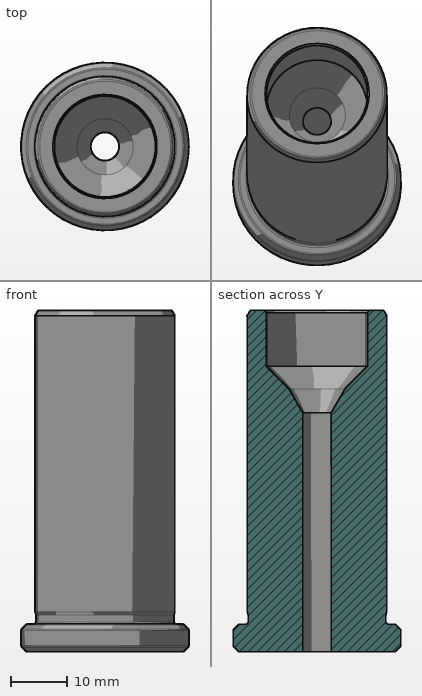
import cadquery as cq
import math

total_height = 61.0
collar_diameter = 30.0
collar_height = 5.0
collar_chamfer = 1.0
body_diameter = 25.0
corner_radius = 0.4

lead_in_angle = math.radians(30)
tip_chamfer_height = 1.0
mouth_chamfer_depth = 0.5

groove_diameter = 24.7
groove_top = 7.2
groove_runout_angle = math.radians(15)

bore_diameter = 18.0
bore_depth = 10.0
throat_diameter = 10.0
hole_diameter = 5.0
upper_cone_slope = math.radians(45)
lower_cone_slope = math.radians(60)

collar_radius = collar_diameter / 2
body_radius = body_diameter / 2
tip_radius = body_radius - tip_chamfer_height * math.tan(lead_in_angle)
groove_radius = groove_diameter / 2
bore_radius = bore_diameter / 2
mouth_radius = bore_radius + mouth_chamfer_depth * math.tan(lead_in_angle)
throat_radius = throat_diameter / 2
hole_radius = hole_diameter / 2

groove_wall_top = groove_top - (body_radius - groove_radius) / math.tan(groove_runout_angle)
bore_bottom = total_height - bore_depth
throat_top = bore_bottom - (bore_radius - throat_radius) * math.tan(upper_cone_slope)
hole_top = throat_top - (throat_radius - hole_radius) * math.tan(lower_cone_slope)


def revolved(outline, rounded_corners=()):
    """Solid of revolution about Z from (radius, height) points, with chosen corners rounded."""
    section = cq.Sketch().polygon(outline + outline[:1])
    for radius, height in rounded_corners:
        corner = cq.selectors.NearestToPointSelector((radius, height, 0))
        section = section.vertices(corner).fillet(corner_radius).reset()
    return cq.Workplane("XZ").placeSketch(section).revolve(360, (0, 0), (0, 1))


def outer_body():
    """Collared pin with its undercut and lead-in chamfer."""
    collar_lower_corner = (collar_radius, collar_chamfer)
    collar_upper_corner = (collar_radius, collar_height - collar_chamfer)
    collar_top_corner = (collar_radius - collar_chamfer, collar_height)
    groove_corner = (groove_radius, collar_height)
    tip_corner = (tip_radius, total_height)
    outline = [
        (0, 0),
        (collar_radius - collar_chamfer, 0),
        collar_lower_corner,
        collar_upper_corner,
        collar_top_corner,
        groove_corner,
        (groove_radius, groove_wall_top),
        (body_radius, groove_top),
        (body_radius, total_height - tip_chamfer_height),
        tip_corner,
        (0, total_height),
    ]
    rounded_corners = [
        collar_lower_corner,
        collar_upper_corner,
        collar_top_corner,
        groove_corner,
        tip_corner,
    ]
    return revolved(outline, rounded_corners)


def stepped_bore():
    """Void of the bore, narrowing by two cones to the through hole."""
    return revolved([
        (0, 0),
        (hole_radius, 0),
        (hole_radius, hole_top),
        (throat_radius, throat_top),
        (bore_radius, bore_bottom),
        (bore_radius, total_height - mouth_chamfer_depth),
        (mouth_radius, total_height),
        (0, total_height),
    ])


result = outer_body().cut(stepped_bore())